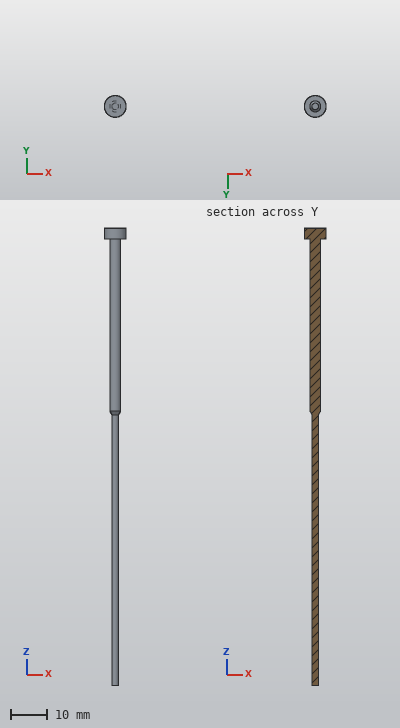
import cadquery as cq
import math

overall_length = 125.0
head_diameter = 6.0
head_height = 3.0
shank_diameter = 3.0
shank_end_depth = 50.0
pin_diameter = 1.8
taper_half_angle = 30.0

head_radius = head_diameter / 2
shank_radius = shank_diameter / 2
pin_radius = pin_diameter / 2
taper_length = (shank_radius - pin_radius) / math.tan(math.radians(taper_half_angle))

head_top = 0.0
head_underside = head_top - head_height
taper_top = head_top - shank_end_depth
taper_bottom = taper_top - taper_length
pin_tip = head_top - overall_length


def half_section():
    """Closed outline of one side of the pin, from the axis outward in the XZ plane."""
    return (
        cq.Workplane("XZ")
        .moveTo(0, head_top)
        .lineTo(head_radius, head_top)
        .lineTo(head_radius, head_underside)
        .lineTo(shank_radius, head_underside)
        .lineTo(shank_radius, taper_top)
        .lineTo(pin_radius, taper_bottom)
        .lineTo(pin_radius, pin_tip)
        .lineTo(0, pin_tip)
        .close()
    )


result = half_section().revolve(360, (0, 0, 0), (0, 1, 0))